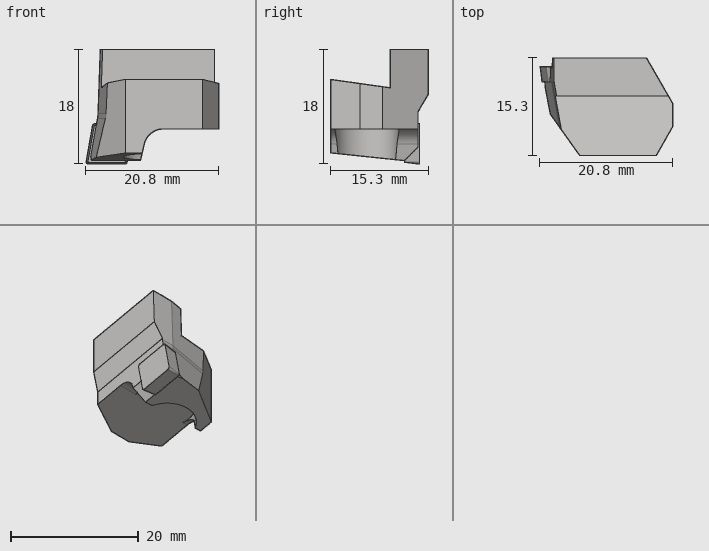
import cadquery as cq
import math

length = 20.8
depth = 15.29
height = 18.0
margin = 4.15

insert_edge_height = 6.35
insert_width = 6.45
insert_lean = 10.0
insert_relief = 7.0
nose_radius = 0.4
insert_back_y = 13.92
seat_y = 11.55
insert_thickness = insert_back_y - seat_y

tab_front_y = 9.32
shoulder_z = 11.98
shoulder_slope = 8.0
lower_back_y = 13.69
back_chamfer_top_z = 10.92
back_chamfer_bottom_z = 8.2
seat_bottom_z = 0.55
bottom_slope = 6.0
heel_slope = 45.0

tab_back_x = 16.68
right_flat_back_y = 8.15
right_flat_front_y = 4.55
front_right_x = 18.22
front_left_x = 6.2
front_left_angle = 35.4

flank_top_x = 2.2
flank_upper_lean = 2.0
flank_lower_lean = 10.0
flank_blend_top_z = 7.9
flank_blend_bottom_z = 7.15
flank_sweep = 10.0

relief_height = 0.62
relief_width = 0.31
relief_length = 1.1

notch_z = 5.5
notch_foot_x = 8.53
notch_lean = 13.0
notch_radius = 3.0

scoop_radius = 5.0
scoop_x = 10.82
scoop_y = 5.7


def slope(angle):
    return math.tan(math.radians(angle))


def make_insert():
    """Rhombic plate, largest at its back face, tapering toward the seat."""
    half_nose = math.radians(90 - insert_lean) / 2
    sharp_x = nose_radius - nose_radius / math.tan(half_nose)
    top_shift = insert_edge_height * slope(insert_lean)
    plate = (
        cq.Workplane("XZ", origin=(0, insert_back_y, 0))
        .polyline([
            (sharp_x, 0),
            (sharp_x + insert_width, 0),
            (sharp_x + insert_width + top_shift, insert_edge_height),
            (sharp_x + top_shift, insert_edge_height),
        ])
        .close()
        .extrude(insert_thickness)
        .edges("|Y")
        .fillet(nose_radius)
    )
    outline = plate.faces(">Y").wires().val()
    return (
        cq.Workplane("XZ", origin=(0, insert_back_y, 0))
        .add(outline)
        .toPending()
        .extrude(insert_thickness, taper=insert_relief)
    )


def make_side_prism():
    """Stepped side profile running the full length."""
    front_top_z = shoulder_z + tab_front_y * slope(shoulder_slope)
    heel_back_z = seat_bottom_z + (lower_back_y - seat_y) * slope(heel_slope)
    front_bottom_z = seat_bottom_z + seat_y * slope(bottom_slope)
    return (
        cq.Workplane("YZ")
        .polyline([
            (0, front_bottom_z),
            (0, front_top_z),
            (tab_front_y, shoulder_z),
            (tab_front_y, height),
            (depth, height),
            (depth, back_chamfer_top_z),
            (lower_back_y, back_chamfer_bottom_z),
            (lower_back_y, heel_back_z),
            (seat_y, seat_bottom_z),
        ])
        .close()
        .extrude(length)
    )


def make_plan_prism():
    """Plan outline; its left end reaches past the flank that trims it."""
    left_y = (front_left_x + margin) / slope(front_left_angle)
    return (
        cq.Workplane("XY")
        .polyline([
            (front_left_x, 0),
            (front_right_x, 0),
            (length, right_flat_front_y),
            (length, right_flat_back_y),
            (tab_back_x, depth),
            (-margin, depth),
            (-margin, left_y),
        ])
        .close()
        .extrude(height)
    )


def flank_x(z):
    """Flank position at the seat plane, for a height outside the blend."""
    if z >= flank_blend_top_z:
        return flank_top_x - (height - z) * slope(flank_upper_lean)
    mean_lean = (flank_upper_lean + flank_lower_lean) / 2
    blend_width = (flank_blend_top_z - flank_blend_bottom_z) * slope(mean_lean)
    blend_bottom_x = flank_x(flank_blend_top_z) - blend_width
    return blend_bottom_x - (flank_blend_bottom_z - z) * slope(flank_lower_lean)


def make_flank_envelope():
    """Everything right of the left flank, straight at the back and swept in front."""
    right_x = length + margin
    profile = (
        cq.Workplane("XZ", origin=(0, seat_y, 0))
        .moveTo(right_x, height)
        .lineTo(flank_x(height), height)
        .lineTo(flank_x(flank_blend_top_z), flank_blend_top_z)
        .tangentArcPoint((flank_x(flank_blend_bottom_z), flank_blend_bottom_z), relative=False)
        .lineTo(flank_x(0), 0)
        .lineTo(right_x, 0)
        .close()
        .wire()
        .val()
    )
    back_direction = cq.Vector(0, depth - seat_y, 0)
    front_direction = cq.Vector(seat_y * slope(flank_sweep), -seat_y, 0)
    back = cq.Solid.extrudeLinear(profile, [], back_direction)
    front = cq.Solid.extrudeLinear(profile, [], front_direction)
    return cq.Workplane(back).union(cq.Workplane(front))


def make_notch():
    """Leaning-walled notch, rounded at its inner corner, open to the right and below."""
    corner_x = notch_foot_x + (notch_z - seat_bottom_z) * slope(notch_lean)
    return (
        cq.Workplane("XZ", origin=(0, depth, 0))
        .polyline([
            (corner_x - notch_z * slope(notch_lean), 0),
            (corner_x, notch_z),
            (length + margin, notch_z),
            (length + margin, 0),
        ])
        .close()
        .extrude(depth)
        .edges(cq.selectors.NearestToPointSelector((corner_x, depth / 2, notch_z)))
        .fillet(notch_radius)
    )


def make_scoop():
    """Vertical round pocket reaching up to the notch ceiling."""
    return cq.Workplane("XY").center(scoop_x, scoop_y).circle(scoop_radius).extrude(notch_z)


def make_corner_relief():
    """Flat that trims the lower left corner at the seat and runs out toward the front."""
    corner_x = flank_x(seat_bottom_z)
    upper = cq.Vector(flank_x(seat_bottom_z + relief_height), seat_y, seat_bottom_z + relief_height)
    lower = cq.Vector(corner_x + relief_width, seat_y, seat_bottom_z)
    runout_rise = relief_length * slope(bottom_slope)
    runout = cq.Vector(
        flank_x(seat_bottom_z + runout_rise) + relief_length * slope(flank_sweep),
        seat_y - relief_length,
        seat_bottom_z + runout_rise,
    )
    reach = upper - lower
    outside = cq.Vector(corner_x - relief_height, seat_y, seat_bottom_z - relief_height)
    section = cq.Wire.makePolygon([upper + reach, lower - reach, outside], close=True)
    direction = (runout - (upper + lower) * 0.5) * 1.5
    return cq.Workplane(cq.Solid.extrudeLinear(section, [], direction))


def make_holder(insert):
    """Tool head with the insert's seat cut into it."""
    return (
        make_side_prism()
        .intersect(make_plan_prism())
        .intersect(make_flank_envelope())
        .cut(make_notch())
        .cut(make_scoop())
        .cut(make_corner_relief())
        .cut(insert)
    )


insert = make_insert()
holder = make_holder(insert)

result = cq.Compound.makeCompound([holder.val(), insert.val()])